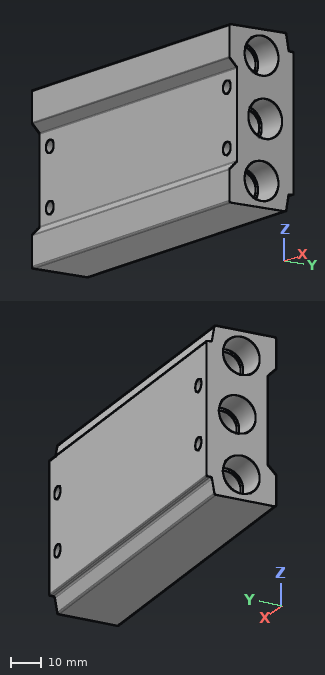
import cadquery as cq
import math

length = 115.0
depth = 26.0
height = 61.0
half_height = height / 2
corner_radius = 0.7
small_edge_radius = 0.5

channel_depth = 3.1
channel_half_floor = 16.0
channel_half_mouth = channel_half_floor + channel_depth

pad_half_height = 24.4
shoulder_depth = 2.0
shoulder_lean_angle = 10
shoulder_lean = (half_height - pad_half_height) * math.tan(math.radians(shoulder_lean_angle))
shoulder_foot_y = depth - shoulder_depth
shoulder_top_y = shoulder_foot_y - shoulder_lean

bore_diameter = 11.2
port_mouth_diameter = 13.7
port_bottom_diameter = 13.1
port_depth = 11.5
bore_spacing = 21.4
outer_bore_y = depth / 2
middle_bore_y = 14.5

mount_diameter = 4.5
mount_end_distance = 6.0
mount_half_spacing = 10.5


def fillet_along_bar(solid, corner, radius):
    """Round the two lengthwise edges at an outline corner and its mirror image below."""
    y, z = corner
    edges = [solid.edges(cq.NearestToPointSelector((0, y, side * z))).val() for side in (1, -1)]
    return solid.newObject(edges).fillet(radius)


def bar():
    channel_floor = (channel_depth, channel_half_floor)
    channel_mouth = (0, channel_half_mouth)
    front_corner = (0, half_height)
    back_corner = (shoulder_top_y, half_height)
    shoulder_foot = (shoulder_foot_y, pad_half_height)
    pad_edge = (depth, pad_half_height)

    upper_half = [channel_floor, channel_mouth, front_corner, back_corner, shoulder_foot, pad_edge]
    lower_half = [(y, -z) for y, z in reversed(upper_half)]
    outline = cq.Workplane("YZ").polyline(upper_half + lower_half).close()
    solid = outline.extrude(length / 2, both=True)

    for corner in (front_corner, back_corner, shoulder_foot):
        solid = fillet_along_bar(solid, corner, corner_radius)
    for corner in (channel_floor, channel_mouth, pad_edge):
        solid = fillet_along_bar(solid, corner, small_edge_radius)
    return solid


def bore(y, z):
    """Through bore with a tapered port at each end, as a solid to cut away."""
    half_length = length / 2
    port_bottom_x = half_length - port_depth
    half_profile = [
        (0, 0),
        (0, bore_diameter / 2),
        (port_bottom_x, bore_diameter / 2),
        (port_bottom_x, port_bottom_diameter / 2),
        (half_length, port_mouth_diameter / 2),
        (half_length, 0),
    ]
    half = cq.Workplane("XY").polyline(half_profile).close().revolve(360, (0, 0, 0), (1, 0, 0))
    return half.union(half.mirror("YZ")).translate((0, y, z))


def mounting_holes():
    centre_x = length / 2 - mount_end_distance
    centres = [(x, z) for x in (-centre_x, centre_x) for z in (-mount_half_spacing, mount_half_spacing)]
    return cq.Workplane("XZ").pushPoints(centres).circle(mount_diameter / 2).extrude(-depth)


bore_centres = [
    (outer_bore_y, -bore_spacing),
    (middle_bore_y, 0),
    (outer_bore_y, bore_spacing),
]

result = bar()
for bore_y, bore_z in bore_centres:
    result = result.cut(bore(bore_y, bore_z))
result = result.cut(mounting_holes())